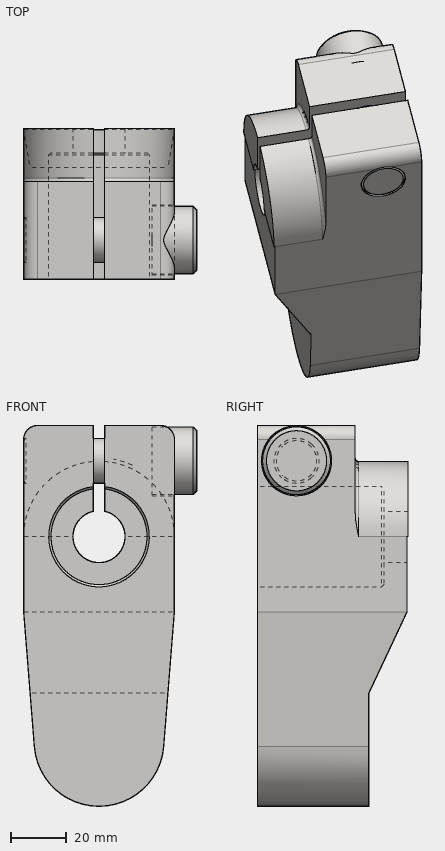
import cadquery as cq

width = 54.0
half_width = width / 2
length = 136.3
depth = 54.0
top_z = 39.8
bottom_z = top_z - length

corner_radius = 5.0
taper_start_z = -27.0
taper_end_z = bottom_z + 21.4
tip_half_width = 23.2

jaw_depth = 35.0
body_depth = 53.5
tip_depth = 40.0
ramp_end_z = -56.0
collar_fillet = 1.2

bore_radius = 18.0
bore_depth = 45.3
bore_chamfer = 0.8
through_radius = 9.3
slot_width = 4.1

head_radius = 12.1
head_length = 16.1
counterbore_radius = 12.5
head_chamfer = 1.4
screw_end_x = 35.0
head_start_x = screw_end_x - head_length
shank_radius = 8.0
shank_chamfer = 0.8
screw_y = 14.0
screw_z = 27.1


def cylinder_along_y(radius, start_y, end_y):
    plane = cq.Workplane("XZ", origin=(0, start_y, 0))
    return plane.circle(radius).extrude(start_y - end_y)


def cylinder_along_x(radius, start_x, end_x):
    plane = cq.Workplane("YZ", origin=(start_x, screw_y, screw_z))
    return plane.circle(radius).extrude(end_x - start_x)


def make_arm():
    """Tapered arm with a rounded tip, trimmed to its stepped side profile."""
    outline = (
        cq.Workplane("XZ")
        .moveTo(-half_width, top_z)
        .lineTo(half_width, top_z)
        .lineTo(half_width, taper_start_z)
        .lineTo(tip_half_width, taper_end_z)
        .threePointArc((0, bottom_z), (-tip_half_width, taper_end_z))
        .lineTo(-half_width, taper_start_z)
        .close()
        .extrude(-depth)
        .edges("|Y and >Z")
        .fillet(corner_radius)
    )
    side_profile = (
        cq.Workplane("YZ")
        .polyline([
            (0, top_z),
            (jaw_depth, top_z),
            (jaw_depth, 0),
            (body_depth, 0),
            (body_depth, taper_start_z),
            (tip_depth, ramp_end_z),
            (tip_depth, bottom_z),
            (0, bottom_z),
        ])
        .close()
        .extrude(half_width, both=True)
    )
    return outline.intersect(side_profile)


def make_collar():
    """Half-round collar behind the jaws, flared into their rear face."""
    flare_radius = half_width + collar_fillet
    flare_end = jaw_depth + collar_fillet
    flare_mid_offset = collar_fillet * (1 - 0.5 ** 0.5)
    full_collar = (
        cq.Workplane("XY")
        .moveTo(0, jaw_depth)
        .lineTo(flare_radius, jaw_depth)
        .threePointArc(
            (half_width + flare_mid_offset, jaw_depth + flare_mid_offset),
            (half_width, flare_end),
        )
        .lineTo(half_width, depth)
        .lineTo(0, depth)
        .close()
        .revolve(360, (0, 0, 0), (0, 1, 0))
    )
    upper_half = cq.Workplane("XY").box(width, depth, top_z, centered=(True, False, False))
    return full_collar.intersect(upper_half)


def make_bore():
    """Blind bore with a chamfered floor and a smaller through hole."""
    large = cylinder_along_y(bore_radius, 0, bore_depth).faces(">Y").chamfer(bore_chamfer)
    return large.union(cylinder_along_y(through_radius, 0, depth))


def make_slot():
    return cq.Workplane("XY").box(slot_width, depth, top_z, centered=(True, False, False))


def make_screw():
    """Cap screw with its chamfered shank end flush with the -X side."""
    head = cylinder_along_x(head_radius, head_start_x, screw_end_x)
    head = head.faces(">X").chamfer(head_chamfer)
    shank = cylinder_along_x(shank_radius, -half_width, head_start_x)
    shank = shank.faces("<X").chamfer(shank_chamfer)
    return head.union(shank)


def make_screw_hole():
    """Hole through both jaws, counterbored with clearance around the head."""
    hole = cylinder_along_x(shank_radius, -half_width, half_width)
    return hole.union(cylinder_along_x(counterbore_radius, head_start_x, half_width))


clamp = make_arm().union(make_collar()).cut(make_bore()).cut(make_slot())
result = clamp.cut(make_screw_hole()).union(make_screw())